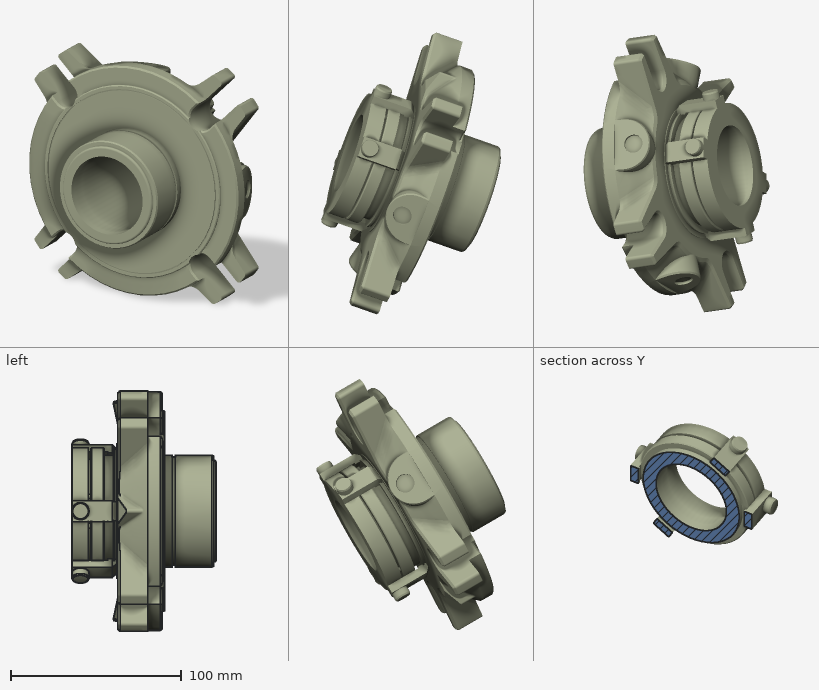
import cadquery as cq
import math


nose_length = 1.4
gland_face = 30.1
flange_front = 31.5
flange_joint = 39.9
flange_back = 57.6
overall_length = 84.4

bore_diameter = 47.6
nose_diameter = 59.6
sleeve_diameter = 65.7
groove_diameter = 63.5
groove_start, groove_end = 23.8, 25.8
sleeve_chamfer_length, sleeve_chamfer_depth = 1.1, 0.5
nose_fillet = 1.3

rim_radius = 70.0
cone_back_radius = 52.5
rim_chamfer = 1.0
raised_ring_radius = 58.7
raised_ring_chamfer = 0.5
face_recess_radius = 56.4
face_disc_diameter = 111.2
face_recess_depth = 0.7

lug_tip_radius = 86.2
lug_tip_half_width = 15.4
lug_root_distance = 42.3
lug_root_half_width = 21.3
lug_corner_fillet = 1.7
lug_back_chamfer = 1.4
lug_web_fillet = 5.6
slot_width = 15.1
slot_center_distance = 64.2
diagonal_angles = [45, 135, 225, 315]

port_tilt = 12.0
port_hole_station = 50.7
port_hole_distance = 66.1
port_hole_diameter = 11.0
port_hole_depth = 1.7
port_radius = 15.8
port_arc_offset = 5.9
port_height = 25.4
port_chamfer_height, port_chamfer_depth = 1.1, 0.5
port_angles = [0, 90, 270]

rib_ridge = 68.5
rib_root = 50.7
rib_half_width = 11.3
rib_ridge_fillet = 1.4
rib_root_fillet = 1.1
rib_bevel_start = 52.0
rib_bevel_foot = 56.4

hub_diameter = 72.5
hub_land_radius = 39.5
hub_land_height = 0.4
thin_ring_start, thin_ring_end, thin_ring_diameter = 59.3, 60.3, 74.1
mid_ring_start, mid_ring_end, mid_ring_diameter = 65.5, 73.3, 74.1
gap_diameter = 61.0
end_ring_start, end_ring_diameter = 74.8, 74.1
ring_edge_chamfer = 0.5
drive_pin_diameter = 2.8
drive_pin_circle = 33.2
drive_pin_angles = [-15, 15, 165, 195]

clip_angles = [0, 60, 180, 240]
clip_width = 12.3
clip_foot_width = 11.1
clip_outer_radius = 41.4
clip_inner_radius = 36.6
clip_hook_radius = 35.8
clip_hook_end = 63.4
clip_front = 58.2
clip_chamfer = 2.5
screw_diameter = 10.0
screw_top = 46.0
screw_station = overall_length - screw_diameter / 2
screw_chamfer_length, screw_chamfer_depth = 1.0, 0.4


def revolve_profile(points):
    """Turn an outline of (radius, station) points about the shaft axis."""
    return cq.Workplane("XY").polyline(points).close().revolve(360, (0, 0), (0, 1))


def ring(diameter, start, end):
    return cq.Workplane("XZ", origin=(0, end, 0)).circle(diameter / 2).extrude(end - start)


def turn(body, angle):
    """Carry a body from the +X side to an angle counted from +X towards +Z."""
    return body.rotate((0, 0, 0), (0, 1, 0), -angle)


def make_sleeve():
    radius = sleeve_diameter / 2
    groove_radius = groove_diameter / 2
    body = revolve_profile([
        (0, nose_length),
        (radius - sleeve_chamfer_depth, nose_length),
        (radius, nose_length + sleeve_chamfer_length),
        (radius, groove_start),
        (groove_radius, groove_start),
        (groove_radius, groove_end),
        (radius, groove_end),
        (radius, end_ring_start),
        (0, end_ring_start),
    ])
    nose = ring(nose_diameter, 0, nose_length).faces("<Y").edges().fillet(nose_fillet)
    gap = ring(sleeve_diameter, mid_ring_end, end_ring_start)
    gap = gap.cut(ring(gap_diameter, mid_ring_end, end_ring_start))
    return body.union(nose).cut(gap)


def make_slot(start, end):
    """Open-ended bolt slot along +X with a round inner end."""
    half_width = slot_width / 2
    outer = lug_tip_radius + slot_width
    return (
        cq.Workplane("XZ", origin=(0, end, 0))
        .moveTo(outer, half_width)
        .lineTo(slot_center_distance, half_width)
        .threePointArc(
            (slot_center_distance - half_width, 0),
            (slot_center_distance, -half_width),
        )
        .lineTo(outer, -half_width)
        .close()
        .extrude(end - start)
    )


def make_lug_block():
    """Solid block along +X that the slot later splits into two lugs."""
    tip_corner = math.sqrt(lug_tip_radius**2 - lug_tip_half_width**2)
    return (
        cq.Workplane("XZ", origin=(0, flange_back, 0))
        .moveTo(lug_root_distance, -lug_root_half_width)
        .lineTo(tip_corner, -lug_tip_half_width)
        .threePointArc((lug_tip_radius, 0), (tip_corner, lug_tip_half_width))
        .lineTo(lug_root_distance, lug_root_half_width)
        .close()
        .extrude(flange_back - flange_joint)
    )


def make_back_layer():
    body = revolve_profile([
        (0, flange_joint),
        (rim_radius, flange_joint),
        (cone_back_radius, flange_back),
        (0, flange_back),
    ])
    for angle in diagonal_angles:
        body = body.union(turn(make_lug_block(), angle))

    middle = (flange_joint + flange_back) / 2
    web_edge_margin = 2.1
    web_edges = body.edges().filter(
        lambda edge: abs(edge.Center().y - middle) < web_edge_margin
        and math.hypot(edge.Center().x, edge.Center().z) < rim_radius
    )
    body = web_edges.fillet(lug_web_fillet)

    for angle in diagonal_angles:
        body = body.cut(turn(make_slot(flange_joint, flange_back), angle))
    tip_edges = body.edges("|Y").filter(
        lambda edge: math.hypot(edge.Center().x, edge.Center().z) > lug_tip_radius - lug_corner_fillet
    )
    body = tip_edges.fillet(lug_corner_fillet)
    return body.faces(">Y").edges().chamfer(lug_back_chamfer)


def make_front_layer():
    rim = ring(2 * rim_radius, flange_front, flange_joint)
    raised_ring = ring(2 * raised_ring_radius, gland_face, flange_joint)
    raised_ring = raised_ring.faces("<Y").edges().chamfer(raised_ring_chamfer)
    for angle in diagonal_angles:
        rim = rim.cut(turn(make_slot(flange_front, flange_joint), angle))
        raised_ring = raised_ring.cut(turn(make_slot(gland_face, flange_joint), angle))
    rim = rim.faces("<Y").edges().chamfer(rim_chamfer)
    recess = ring(2 * face_recess_radius, gland_face, gland_face + face_recess_depth)
    face_disc = ring(face_disc_diameter, gland_face, flange_front)
    return rim.union(raised_ring).cut(recess).union(face_disc)


def port_face():
    """Tilted plane of the port on the +Z side, centred on its hole."""
    tilt = math.radians(port_tilt)
    return cq.Workplane(cq.Plane(
        origin=(0, port_hole_station, port_hole_distance),
        xDir=(1, 0, 0),
        normal=(0, math.sin(tilt), math.cos(tilt)),
    ))


def port_prism(height):
    """Block standing on the port face, or below it when negative, with an arch towards the back."""
    arc_top = port_radius - port_arc_offset
    return (
        port_face()
        .moveTo(-port_radius, -2 * port_radius)
        .lineTo(-port_radius, -port_arc_offset)
        .threePointArc((0, arc_top), (port_radius, -port_arc_offset))
        .lineTo(port_radius, -2 * port_radius)
        .close()
        .extrude(height)
    )


def make_port():
    boss = port_prism(-port_height)
    boss = boss.faces(">Z").edges().chamfer(port_chamfer_height, port_chamfer_depth)
    return boss.intersect(ring(2 * rim_radius, flange_joint, overall_length))


def make_port_clearance():
    """Room above the port face, where the cone would otherwise stand proud, and the hole in it."""
    room = port_prism(port_height).intersect(ring(2 * rim_radius, flange_joint, overall_length))
    hole = port_face().circle(port_hole_diameter / 2).extrude(-port_hole_depth)
    return room.union(hole)


def make_rib():
    """Triangular rib along the shaft axis, its ridge towards -X."""
    rib = (
        cq.Workplane("XZ", origin=(0, flange_back, 0))
        .polyline([(-rib_root, -rib_half_width), (-rib_ridge, 0), (-rib_root, rib_half_width)])
        .close()
        .extrude(flange_back - flange_joint)
    )
    rib = rib.edges("|Y").edges("<X").fillet(rib_ridge_fillet)
    bevel = (
        cq.Workplane("XY", origin=(0, 0, -rib_half_width))
        .polyline([
            (-rib_ridge, rib_bevel_start),
            (-rib_ridge, flange_back),
            (-rib_bevel_foot, flange_back),
        ])
        .close()
        .extrude(2 * rib_half_width)
    )
    return rib.cut(bevel)


def make_collar():
    collar = ring(2 * hub_land_radius, flange_back, flange_back + hub_land_height)
    collar = collar.union(ring(hub_diameter, flange_back, thin_ring_start))
    collar = collar.union(ring(thin_ring_diameter, thin_ring_start, thin_ring_end))
    mid_ring = ring(mid_ring_diameter, mid_ring_start, mid_ring_end)
    collar = collar.union(mid_ring.edges().chamfer(ring_edge_chamfer))
    return collar.union(ring(end_ring_diameter, end_ring_start, overall_length))


def make_clip():
    """Setting clip on the +X side with its screw head."""
    clip = (
        cq.Workplane("XY", origin=(0, 0, -clip_width / 2))
        .polyline([
            (clip_hook_radius, clip_front),
            (clip_outer_radius - clip_chamfer, clip_front),
            (clip_outer_radius, clip_front + clip_chamfer),
            (clip_outer_radius, overall_length),
            (clip_inner_radius, overall_length),
            (clip_inner_radius, clip_hook_end),
            (clip_hook_radius, clip_hook_end),
        ])
        .close()
        .extrude(clip_width)
    )
    foot_trim = (clip_width - clip_foot_width) / 2
    for side in (-1, 1):
        trim = cq.Workplane("XY").box(
            2 * clip_outer_radius, 2 * clip_chamfer, foot_trim
        ).translate((0, clip_front, side * (clip_width - foot_trim) / 2))
        clip = clip.cut(trim)
    screw_radius = screw_diameter / 2
    screw = (
        cq.Workplane("XY")
        .polyline([
            (clip_inner_radius, 0),
            (clip_inner_radius, screw_radius),
            (screw_top - screw_chamfer_length, screw_radius),
            (screw_top, screw_radius - screw_chamfer_depth),
            (screw_top, 0),
        ])
        .close()
        .revolve(360, (0, 0), (1, 0))
        .translate((0, screw_station, 0))
    )
    return clip.union(screw)


def add_rib(body):
    """Join the rib to the cone and round the curved seam between them."""
    body = body.union(make_rib())
    seam_box = cq.selectors.BoxSelector(
        (-rib_ridge, flange_joint, -rib_half_width),
        (-rib_root, flange_back - rib_root_fillet, rib_half_width),
    )
    seam = body.edges(seam_box).filter(lambda edge: edge.geomType() in ("HYPERBOLA", "BSPLINE"))
    return seam.fillet(rib_root_fillet)


def make_drive_pin():
    pin = ring(drive_pin_diameter, mid_ring_end - ring_edge_chamfer, end_ring_start)
    return pin.translate((drive_pin_circle, 0, 0))


result = make_sleeve().union(make_back_layer()).union(make_front_layer())
for angle in port_angles:
    result = result.union(turn(make_port(), angle - 90))
    result = result.cut(turn(make_port_clearance(), angle - 90))
result = add_rib(result)
result = result.union(make_collar())
for angle in clip_angles:
    result = result.union(turn(make_clip(), angle))
for angle in drive_pin_angles:
    result = result.union(turn(make_drive_pin(), angle))
result = result.cut(ring(bore_diameter, 0, overall_length))